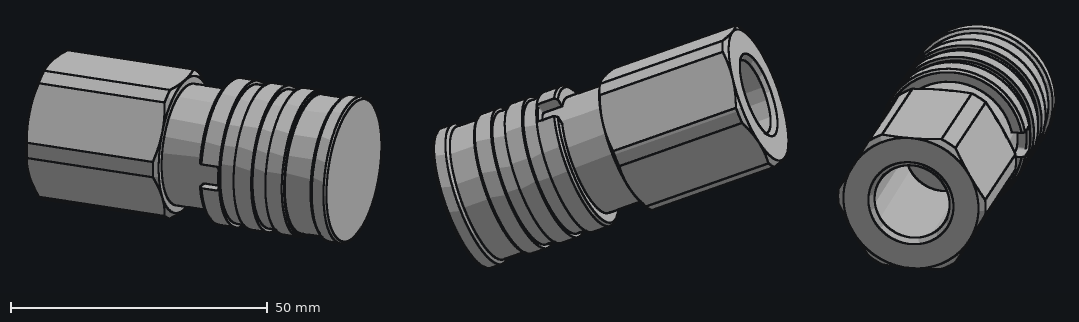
import cadquery as cq
import math


total_length = 63.6
nut_length = 28.0
nut_across_flats = 27.0
nut_corner_dia = 29.5
nut_chamfer_angle = 30.0

bore_dia = 15.0
bore_mouth_dia = 17.0
bore_depth = nut_length

neck_dia = 24.0

sleeve_start = 36.8
band_radius = 14.5
groove_radius = 13.75
grip_grooves = [(41.1, 44.2), (47.9, 50.9)]
wide_groove_start = 54.7
wide_groove_end = 60.1
sleeve_end_chamfer = 0.55
rim_chamfer = 0.45
band_chamfer = 0.35
rim_slope_length = 0.6

notch_width = 5.0
notch_end = 40.95
notch_corner_radius = 0.5


def revolve_about_x(points):
    """Solid of revolution from (x, radius) points, closed along the X axis."""
    return cq.Workplane("XY").polyline(points).close().revolve(360, (0, 0, 0), (1, 0, 0))


def make_nut():
    """Hexagon with flats facing Z, its corners turned down and both ends chamfered."""
    corner_radius = nut_corner_dia / 2
    face_radius = nut_across_flats / 2
    chamfer_length = (corner_radius - face_radius) * math.tan(math.radians(nut_chamfer_angle))
    across_corners = nut_across_flats / math.cos(math.pi / 6)
    hexagon = cq.Workplane("YZ").polygon(6, across_corners).extrude(nut_length)
    turned_envelope = revolve_about_x([
        (0, 0),
        (0, face_radius),
        (chamfer_length, corner_radius),
        (nut_length - chamfer_length, corner_radius),
        (nut_length, face_radius),
        (nut_length, 0),
    ])
    return hexagon.intersect(turned_envelope)


def make_neck():
    """Plain core running from the nut to the far end of the coupling."""
    core_length = total_length - nut_length
    return cq.Workplane("YZ").workplane(offset=nut_length).circle(neck_dia / 2).extrude(core_length)


def make_sleeve():
    """Grip sleeve: square-sided grooves, one wide groove and an end rim."""
    profile = [
        (sleeve_start, 0),
        (sleeve_start, band_radius - sleeve_end_chamfer),
        (sleeve_start + sleeve_end_chamfer, band_radius),
    ]
    for groove_start, groove_end in grip_grooves:
        profile += [
            (groove_start, band_radius),
            (groove_start, groove_radius),
            (groove_end, groove_radius),
            (groove_end, band_radius),
        ]
    profile += [
        (wide_groove_start - band_chamfer, band_radius),
        (wide_groove_start, band_radius - band_chamfer),
        (wide_groove_start, groove_radius),
        (wide_groove_end, groove_radius),
        (wide_groove_end + rim_slope_length, band_radius),
        (total_length - rim_chamfer, band_radius),
        (total_length, band_radius - rim_chamfer),
        (total_length, 0),
    ]
    return revolve_about_x(profile)


def make_notches():
    """Cutter for both notches: a bar through Y with rounded inner corners."""
    notch_length = notch_end - sleeve_start
    return (
        cq.Workplane("XY")
        .box(notch_length, 2 * nut_corner_dia, notch_width, centered=(False, True, True))
        .translate((sleeve_start, 0, 0))
        .edges("|Y and >X")
        .fillet(notch_corner_radius)
    )


def make_bore():
    """Blind bore with a 45 degree countersunk mouth."""
    mouth_depth = (bore_mouth_dia - bore_dia) / 2
    return revolve_about_x([
        (0, 0),
        (0, bore_mouth_dia / 2),
        (mouth_depth, bore_dia / 2),
        (bore_depth, bore_dia / 2),
        (bore_depth, 0),
    ])


sleeve = make_sleeve().cut(make_notches())
result = make_nut().union(sleeve).union(make_neck()).cut(make_bore())